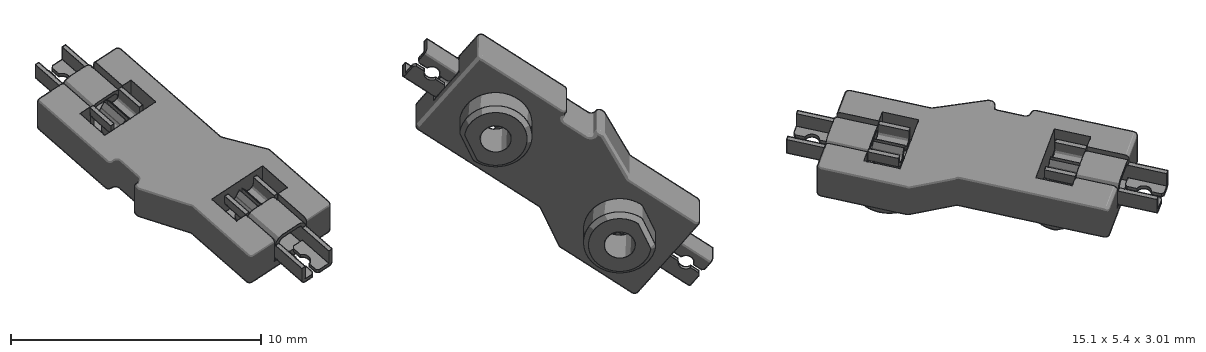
import cadquery as cq
import math

HOUSING_LENGTH = 11.87
HOUSING_WIDTH = 5.4
HALF_WIDTH = 4.38
HOUSING_HEIGHT = 1.83
EDGE_RADIUS = 0.2
HALF_OFFSET = (HOUSING_WIDTH - HALF_WIDTH) / 2

REAR_SLANT_START = 0.36
REAR_SLANT_END = 2.11
FRONT_SLANT_START = 0.3
FRONT_SLANT_END = 2.37

NOTCH_LEFT = -1.5
NOTCH_RIGHT = -0.02
NOTCH_DEPTH = 0.41

POST_SPACING = 6.99
POST_RADIUS = 1.45
POST_HEIGHT = 1.18
POST_CHAMFER = 0.2
KEY_DISTANCE = 1.27
KEY_ANGLE = 120
KEY_EDGE_RADIUS = 0.3
PIN_HOLE_RADIUS = 0.62

WINDOW_OUTER_X = 4.18
WINDOW_LENGTH = 1.51
WINDOW_WIDTH = 2.69
CHANNEL_WIDTH = 1.69
LEFT_CHANNEL_SHIFT = 0.05

SHEET = 0.18
TERMINAL_WIDTH = 1.6
TERMINAL_DEPTH = 1.31
TERMINAL_TIP_X = 7.55
BARREL_INNER_X = 4.17
BARREL_BEND_RADIUS = 0.41
TAIL_TOP_DEPTH = 0.38

SLOT_FRONT_Y = -0.17
SLOT_TIP_REAR_Y = 0.02
SLOT_REAR_Y = 0.06
SLOT_FLARE = 0.09
SLOT_HOLE_X = 6.75
SLOT_HOLE_RADIUS = 0.32

ARM_LENGTH = 1.28
ARM_GAP = 0.14
ARM_DEPTH = 0.77
ARM_TIP_DEPTH = 0.21
ARM_BEND_SWEEP = 160

POST_X = POST_SPACING / 2
TERMINAL_BOTTOM = HOUSING_HEIGHT - TERMINAL_DEPTH
END_X = HOUSING_LENGTH / 2


def half_center_y(side):
    """Centre line of the left half (side -1) or of the right half (side +1)."""
    return side * HALF_OFFSET


def make_housing_block():
    rear = HOUSING_WIDTH / 2
    front = -HOUSING_WIDTH / 2
    left_rear = HALF_WIDTH / 2 - HALF_OFFSET
    right_front = HALF_OFFSET - HALF_WIDTH / 2
    outline = [
        (-END_X, front),
        (NOTCH_LEFT, front),
        (NOTCH_LEFT, front + NOTCH_DEPTH),
        (NOTCH_RIGHT, front + NOTCH_DEPTH),
        (NOTCH_RIGHT, front),
        (FRONT_SLANT_START, front),
        (FRONT_SLANT_END, right_front),
        (END_X, right_front),
        (END_X, rear),
        (REAR_SLANT_END, rear),
        (REAR_SLANT_START, left_rear),
        (-END_X, left_rear),
    ]
    block = cq.Workplane("XY").polyline(outline).close().extrude(HOUSING_HEIGHT)
    block = block.edges("|Z").fillet(EDGE_RADIUS)
    return block.faces("<Z or >Z").edges().fillet(EDGE_RADIUS)


def make_post(side):
    post = cq.Workplane("XY").circle(POST_RADIUS).extrude(-POST_HEIGHT)
    beyond_flat = (
        cq.Workplane("XY")
        .box(POST_RADIUS, 2 * POST_RADIUS, POST_HEIGHT, centered=(False, True, False))
        .translate((KEY_DISTANCE, 0, -POST_HEIGHT))
    )
    post = post.cut(beyond_flat)
    post = post.faces(">X").edges("|Z").fillet(KEY_EDGE_RADIUS)
    post = post.faces("<Z").edges().chamfer(POST_CHAMFER)
    turn = KEY_ANGLE if side < 0 else KEY_ANGLE + 180
    post = post.rotate((0, 0, 0), (0, 0, 1), turn)
    return post.translate((side * POST_X, half_center_y(side), 0))


def make_terminal_recess(side):
    """Window, channel and pin hole for one end of the housing."""
    center_y = half_center_y(side)
    channel_shift = LEFT_CHANNEL_SHIFT if side < 0 else 0
    window = (
        cq.Workplane("XY")
        .box(WINDOW_LENGTH, WINDOW_WIDTH, TERMINAL_DEPTH, centered=(True, True, False))
        .translate((side * (WINDOW_OUTER_X - WINDOW_LENGTH / 2), center_y, TERMINAL_BOTTOM))
    )
    channel_length = END_X - BARREL_INNER_X
    channel = (
        cq.Workplane("XY")
        .box(channel_length, CHANNEL_WIDTH, TERMINAL_DEPTH, centered=(True, True, False))
        .translate((side * (END_X - channel_length / 2), center_y + channel_shift, TERMINAL_BOTTOM))
    )
    pin_hole = (
        cq.Workplane("XY", origin=(side * POST_X, center_y, -POST_HEIGHT))
        .circle(PIN_HOLE_RADIUS)
        .extrude(POST_HEIGHT + HOUSING_HEIGHT)
    )
    return window.union(channel).union(pin_hole)


def make_housing():
    housing = make_housing_block()
    for side in (-1, 1):
        housing = housing.union(make_post(side))
    for side in (-1, 1):
        housing = housing.cut(make_terminal_recess(side))
    return housing


def make_barrel():
    """Arched sheet metal cover with well rounded upper corners, open below."""
    length = END_X - BARREL_INNER_X

    def arched_bar(inset):
        return (
            cq.Workplane("XY")
            .box(length, TERMINAL_WIDTH - 2 * inset, TERMINAL_DEPTH - inset, centered=(False, True, False))
            .edges("|X and >Z")
            .fillet(BARREL_BEND_RADIUS - inset)
            .translate((BARREL_INNER_X, 0, TERMINAL_BOTTOM))
        )

    return arched_bar(0).cut(arched_bar(SHEET))


def make_tail():
    """U-shaped strip from the housing end to the terminal's tip."""
    length = TERMINAL_TIP_X - END_X
    height = TERMINAL_DEPTH - TAIL_TOP_DEPTH
    trough = cq.Workplane("XY").box(length, TERMINAL_WIDTH, height, centered=(False, True, False))
    trough = trough.edges("|X and <Z").fillet(SHEET)
    inside = (
        cq.Workplane("XY")
        .box(length, TERMINAL_WIDTH - 2 * SHEET, height, centered=(False, True, False))
        .translate((0, 0, SHEET))
    )
    return trough.cut(inside).translate((END_X, 0, TERMINAL_BOTTOM))


def make_floor_slot():
    """Slot along the floor, flared at both ends of the tail, with a round hole in the tail."""
    outline = [
        (END_X, SLOT_FRONT_Y - SLOT_FLARE),
        (END_X + SLOT_FLARE, SLOT_FRONT_Y),
        (TERMINAL_TIP_X - SLOT_FLARE, SLOT_FRONT_Y),
        (TERMINAL_TIP_X, SLOT_FRONT_Y - SLOT_FLARE),
        (TERMINAL_TIP_X, SLOT_TIP_REAR_Y + SLOT_FLARE),
        (TERMINAL_TIP_X - SLOT_FLARE, SLOT_TIP_REAR_Y),
        (SLOT_HOLE_X, SLOT_TIP_REAR_Y),
        (SLOT_HOLE_X, SLOT_REAR_Y),
        (END_X + SLOT_FLARE, SLOT_REAR_Y),
        (END_X, SLOT_REAR_Y + SLOT_FLARE),
    ]
    floor = cq.Workplane("XY", origin=(0, 0, TERMINAL_BOTTOM))
    slot = floor.polyline(outline).close().extrude(SHEET)
    hole_y = (SLOT_FRONT_Y + SLOT_TIP_REAR_Y) / 2
    hole = floor.center(SLOT_HOLE_X, hole_y).circle(SLOT_HOLE_RADIUS).extrude(SHEET)
    return slot.union(hole)


def place_at_end(part, side):
    """Move a part built for the right end, on Y = 0, to the given end."""
    if side < 0:
        part = part.mirror("YZ")
    return part.translate((0, half_center_y(side), 0))


def make_terminal(side):
    terminal = make_barrel().union(make_tail()).cut(make_floor_slot())
    return place_at_end(terminal, side)


def make_spring_arm(side, flank):
    """J-shaped arm on the rear (flank +1) or front (flank -1) side of the window."""
    wall_outer = CHANNEL_WIDTH / 2
    wall_inner = wall_outer - SHEET
    tip_y = ARM_GAP / 2
    tip_z = HOUSING_HEIGHT - ARM_TIP_DEPTH
    end_angle = math.radians(180 - ARM_BEND_SWEEP)
    outer_radius = (wall_outer - tip_y) / (1 + math.cos(end_angle))
    inner_radius = outer_radius - SHEET
    bend_y = wall_outer - outer_radius
    bend_z = HOUSING_HEIGHT - ARM_DEPTH + outer_radius

    def bend_end(radius):
        return (bend_y - radius * math.cos(end_angle), bend_z - radius * math.sin(end_angle))

    arm = (
        cq.Workplane("YZ", origin=(BARREL_INNER_X - ARM_LENGTH, 0, 0))
        .moveTo(wall_outer, HOUSING_HEIGHT)
        .lineTo(wall_outer, bend_z)
        .threePointArc((bend_y, bend_z - outer_radius), bend_end(outer_radius))
        .lineTo(tip_y, tip_z)
        .lineTo(*bend_end(inner_radius))
        .threePointArc((bend_y, bend_z - inner_radius), (wall_inner, bend_z))
        .lineTo(wall_inner, HOUSING_HEIGHT)
        .close()
        .extrude(ARM_LENGTH)
    )
    if flank < 0:
        arm = arm.mirror("XZ")
    return place_at_end(arm, side)


housing = make_housing()
terminals = [make_terminal(side) for side in (-1, 1)]
spring_arms = [make_spring_arm(side, flank) for side in (-1, 1) for flank in (-1, 1)]

bodies = [housing.solids().val()]
bodies += [terminal.solids().val() for terminal in terminals]
bodies += [arm.solids().val() for arm in spring_arms]
result = cq.Compound.makeCompound(bodies)